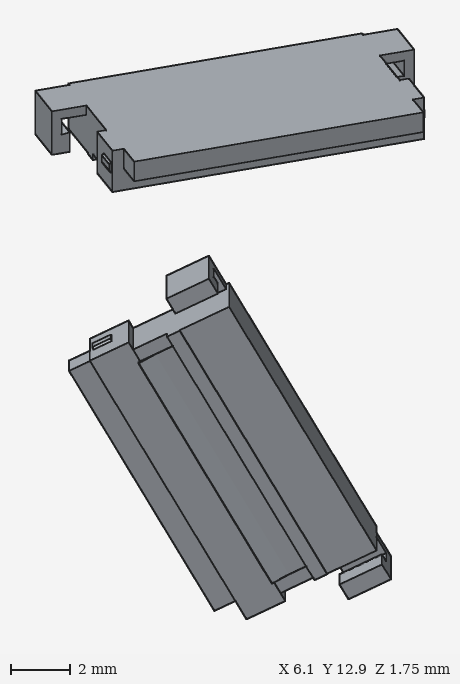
import cadquery as cq

length_x = 6.1
width_y = 12.9
height = 1.75

body_width = 10.45
front_depth = 1.71
foot_start_x = 1.87
foot_end_x = 2.35
recess_depth = 1.53

pad_inset = 0.5
pad_depth = 1.55
pad_slope_start_x = 3.05
pad_end_x = 3.7
pad_end_depth = 1.63

lug_start_x = 3.63
lug_end_x = 5.1
lug_width = 11.1
lug_depth = 1.56
tongue_width = 10.3
tongue_depth = 0.74

hook_start_x = 0.11
hook_end_x = 1.72
hook_depth = 1.64
hook_wall = 0.35
hook_lip_width = 0.64
hook_lip_depth = 0.935
hook_lip_rise = 0.03

latch_start_x = 4.27
latch_end_x = 4.97
latch_top_depth = 0.5
latch_bottom_depth = 0.9
latch_height = 0.07
latch_top_slope = 0.06
latch_bottom_slope = 0.08


def centred_block(start_x, end_x, width, depth):
    """Block hanging from the top face, centred on Y."""
    size_x = end_x - start_x
    block = cq.Workplane("XY").box(size_x, width, depth, centered=(False, True, False))
    return block.translate((start_x, 0, -depth))


def extrude_xz(points, width):
    """Extrude a closed (X, Z) outline along Y, centred on Y = 0."""
    profile = cq.Workplane("XZ").polyline(points).close()
    return profile.extrude(width / 2, both=True)


def extrude_yz(points, start_x, end_x):
    """Extrude a closed (Y, Z) outline along X."""
    profile = cq.Workplane("YZ", origin=(start_x, 0, 0)).polyline(points).close()
    return profile.extrude(end_x - start_x)


def make_body():
    outline = [
        (0, 0),
        (lug_end_x, 0),
        (lug_end_x, -recess_depth),
        (foot_end_x, -recess_depth),
        (foot_end_x, -height),
        (foot_start_x, -height),
        (foot_start_x, -front_depth),
        (0, -front_depth),
    ]
    return extrude_xz(outline, body_width)


def make_pad():
    outline = [
        (foot_end_x, -recess_depth),
        (foot_end_x, -pad_depth),
        (pad_slope_start_x, -pad_depth),
        (pad_end_x, -pad_end_depth),
        (pad_end_x, -recess_depth),
    ]
    return extrude_xz(outline, body_width - 2 * pad_inset)


def make_hook():
    """Hook on the +Y side, reaching down and back towards the body."""
    outer_y = width_y / 2
    wall_y = outer_y - hook_wall
    lip_y = outer_y - hook_lip_width
    root_y = body_width / 2
    outline = [
        (root_y, 0),
        (outer_y, 0),
        (outer_y, -hook_depth),
        (lip_y, -hook_depth),
        (lip_y, -hook_lip_depth + hook_lip_rise),
        (wall_y, -hook_lip_depth),
        (wall_y, -hook_wall),
        (root_y, -hook_wall),
    ]
    return extrude_yz(outline, hook_start_x, hook_end_x)


def make_latch():
    """Small bump with sloped upper and lower faces on the +Y lug face."""
    base_y = lug_width / 2
    tip_y = base_y + latch_height
    outline = [
        (base_y, -latch_top_depth),
        (tip_y, -latch_top_depth - latch_top_slope),
        (tip_y, -latch_bottom_depth + latch_bottom_slope),
        (base_y, -latch_bottom_depth),
    ]
    return extrude_yz(outline, latch_start_x, latch_end_x)


result = make_body().union(make_pad())
result = result.union(centred_block(lug_start_x, lug_end_x, lug_width, lug_depth))
result = result.union(centred_block(lug_end_x, length_x, tongue_width, tongue_depth))
for side_feature in (make_hook(), make_latch()):
    result = result.union(side_feature)
    result = result.union(side_feature.mirror("XZ"))